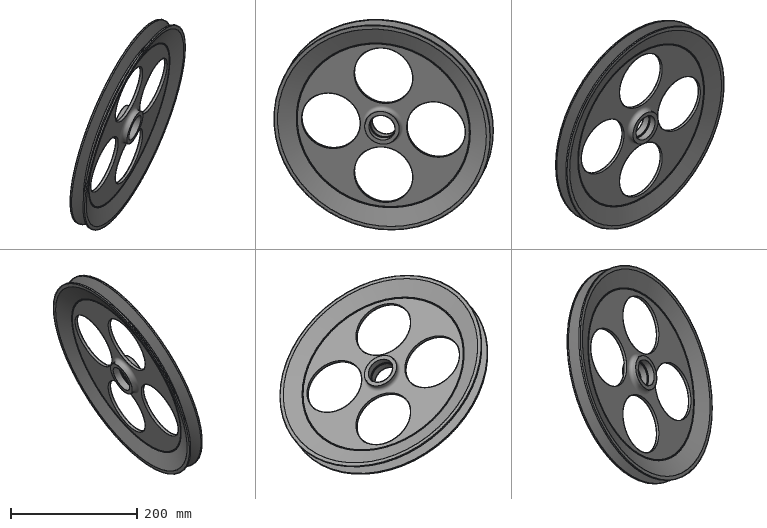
import cadquery as cq

outer_radius = 175.0
half_width = 13.0

groove_bottom_radius = 150.5
groove_bottom_half_width = 1.5
groove_top_half_width = 10.0

dish_outer_radius = 169.0
dish_inner_radius = 141.0
dish_inner_half_width = 2.8
web_outer_radius = 139.3
web_half_thickness = 2.5

hub_radius = 56.0 / 2
hub_fillet = 5.2
selection_margin = 0.5
bore_radius = 42.0 / 2
ring_groove_radius = 44.5 / 2
ring_groove_width = 1.8

hole_count = 4
hole_diameter = 95.0
hole_circle_radius = 85.0


def rim():
    """Ring with flat side faces and a V groove, and a small ledge where each dish ends at the web."""
    return (
        cq.Workplane("XY")
        .moveTo(-web_half_thickness, web_outer_radius)
        .lineTo(-dish_inner_half_width, web_outer_radius)
        .lineTo(-dish_inner_half_width, dish_inner_radius)
        .lineTo(-half_width, dish_outer_radius)
        .lineTo(-half_width, outer_radius)
        .lineTo(-groove_top_half_width, outer_radius)
        .lineTo(-groove_bottom_half_width, groove_bottom_radius)
        .lineTo(groove_bottom_half_width, groove_bottom_radius)
        .lineTo(groove_top_half_width, outer_radius)
        .lineTo(half_width, outer_radius)
        .lineTo(half_width, dish_outer_radius)
        .lineTo(dish_inner_half_width, dish_inner_radius)
        .lineTo(dish_inner_half_width, web_outer_radius)
        .lineTo(web_half_thickness, web_outer_radius)
        .close()
        .revolve(360, (0, 0, 0), (1, 0, 0))
    )


def mid_plane_cylinder(radius, length):
    """Cylinder along X, centred on the middle plane of the wheel."""
    return cq.Workplane("YZ", origin=(-length / 2, 0, 0)).circle(radius).extrude(length)


def lightening_holes():
    return (
        cq.Workplane("YZ", origin=(-half_width, 0, 0))
        .polarArray(hole_circle_radius, 0, 360, hole_count)
        .circle(hole_diameter / 2)
        .extrude(2 * half_width)
    )


def hub_and_web():
    """Hub tube and thin web, joined by a fillet on each side."""
    hub = mid_plane_cylinder(hub_radius, 2 * half_width)
    web = mid_plane_cylinder(web_outer_radius, 2 * web_half_thickness)
    foot_radius = hub_radius + hub_fillet
    foot_edges = cq.selectors.BoxSelector(
        (-web_half_thickness - selection_margin, -foot_radius, -foot_radius),
        (web_half_thickness + selection_margin, foot_radius, foot_radius),
        boundingbox=True,
    )
    return hub.union(web).edges(foot_edges).fillet(hub_fillet)


wheel = hub_and_web().union(rim())
wheel = wheel.cut(mid_plane_cylinder(bore_radius, 2 * half_width))
wheel = wheel.cut(mid_plane_cylinder(ring_groove_radius, ring_groove_width))
result = wheel.cut(lightening_holes())